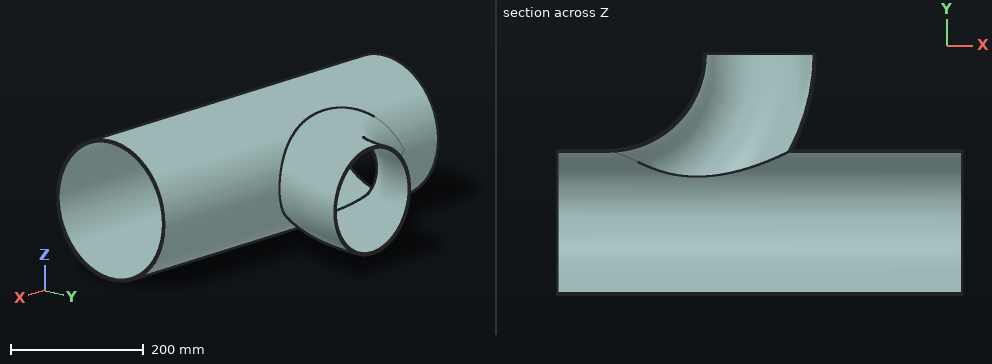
import cadquery as cq

main_length = 610.0
main_diameter = 219.1

branch_diameter = 168.3
bend_radius = 229.0
bend_angle = 90.0

wall = 3.0

main_radius = main_diameter / 2
branch_radius = branch_diameter / 2

branch_end_y = main_radius + bend_radius - branch_radius


def main_cylinder(radius):
    """Solid cylinder along X, as long as the main pipe."""
    return cq.Workplane("YZ", origin=(-main_length / 2, 0, 0)).circle(radius).extrude(main_length)


def elbow(radius):
    """Solid quarter bend from the open branch end, down and toward -X into the main pipe."""
    axis_start = (-bend_radius, 0, 0)
    axis_end = (-bend_radius, -1, 0)
    return (
        cq.Workplane("XZ", origin=(0, branch_end_y, 0))
        .circle(radius)
        .revolve(bend_angle, axis_start, axis_end)
    )


main_body = main_cylinder(main_radius)
branch_body = elbow(branch_radius).cut(main_body)

branch_bore = elbow(branch_radius - wall)
main_bore = main_cylinder(main_radius - wall)

result = main_body.union(branch_body).cut(branch_bore).cut(main_bore)